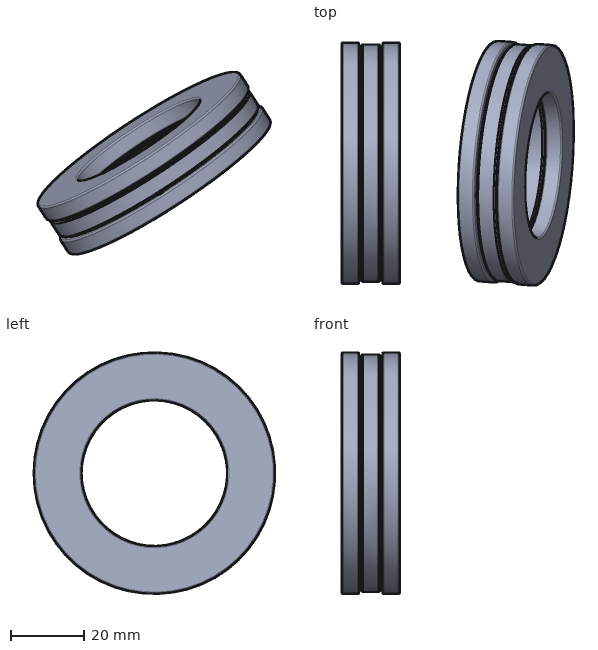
import cadquery as cq


total_width = 15.9
washer_diameter = 65.9
washer_bore = 39.65
edge_radius = 0.5
roller_diameter = 6.3
roller_length = 9.6
roller_count = 4
cage_width = 5.4
cage_chamfer = 0.5

washer_width = (total_width - roller_diameter) / 2
cage_diameter = washer_diameter - 2 * edge_radius
cage_bore = washer_bore + 2 * edge_radius
pitch_radius = (washer_diameter + washer_bore) / 4
roller_inner_end = pitch_radius - roller_length / 2


def make_ring(start_x, width, outer_diameter, bore):
    """Ring along X from start_x, with sharp edges."""
    return (
        cq.Workplane("YZ", origin=(start_x, 0, 0))
        .circle(outer_diameter / 2)
        .circle(bore / 2)
        .extrude(width)
    )


def make_washer(start_x):
    """Washer from start_x, with all four circular edges rounded."""
    ring = make_ring(start_x, washer_width, washer_diameter, washer_bore)
    return ring.edges("%CIRCLE").fillet(edge_radius)


def make_cage(rollers):
    """Chamfered ring with a matching pocket for each roller."""
    ring = make_ring(-cage_width / 2, cage_width, cage_diameter, cage_bore)
    cage = ring.edges("%CIRCLE").chamfer(cage_chamfer)
    for roller in rollers:
        cage = cage.cut(roller)
    return cage


def make_roller(angle):
    """Radial roller with rounded ends, turned about X by angle from +Z."""
    return (
        cq.Workplane("XY", origin=(0, 0, roller_inner_end))
        .circle(roller_diameter / 2)
        .extrude(roller_length)
        .edges("%CIRCLE")
        .fillet(edge_radius)
        .rotate((0, 0, 0), (1, 0, 0), angle)
    )


left_washer = make_washer(-total_width / 2)
right_washer = make_washer(roller_diameter / 2)

rollers = [make_roller(index * 360 / roller_count) for index in range(roller_count)]

cage = make_cage(rollers)

result = cq.Compound.makeCompound(
    [left_washer.val(), right_washer.val(), *cage.vals(), *[roller.val() for roller in rollers]]
)